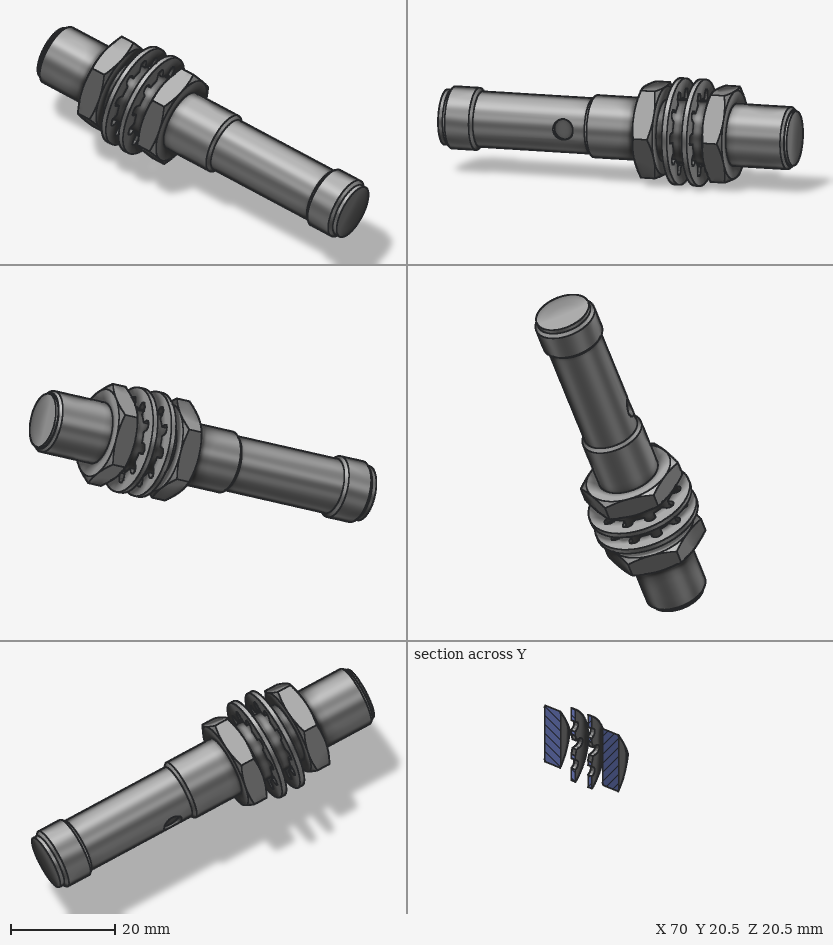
import cadquery as cq
import math

total_length = 70.0
thread_diameter = 12.0
thread_end = 40.6
front_cap_diameter = 10.5
front_cap_length = 0.5
front_chamfer_diameter = 11.0
front_chamfer_end = 1.1
tail_diameter = 10.7
collar_start = 63.0
collar_end = 69.1

recess_diameter = 4.0
recess_position = 44.9
recess_depth = 1.0

nut_width_across_flats = 17.0
nut_thickness = 4.0
nut_starts = (12.0, 26.0)
nut_chamfer_angle = 25.0

washer_diameter = 20.5
washer_bore_diameter = 13.0
washer_thickness = 1.0
washer_starts = (18.5, 22.5)
washer_notch_count = 10
washer_notch_width = 2.0
washer_notch_reach = 8.4


def x_cylinder(diameter, start, length):
    """Solid cylinder along X, beginning at X = start."""
    return cq.Workplane("YZ", origin=(start, 0, 0)).circle(diameter / 2).extrude(length)


def make_sensor():
    """Stepped round barrel with a threaded front, a slim tail and an end collar."""
    thread_radius = thread_diameter / 2
    tail_radius = tail_diameter / 2
    step_chamfer = thread_radius - tail_radius
    half_profile = [
        (0, 0),
        (0, front_cap_diameter / 2),
        (front_cap_length, front_cap_diameter / 2),
        (front_cap_length, front_chamfer_diameter / 2),
        (front_chamfer_end, thread_radius),
        (thread_end - step_chamfer, thread_radius),
        (thread_end, tail_radius),
        (collar_start, tail_radius),
        (collar_start + step_chamfer, thread_radius),
        (collar_end - step_chamfer, thread_radius),
        (collar_end, tail_radius),
        (total_length, tail_radius),
        (total_length, 0),
    ]
    barrel = cq.Workplane("XY").polyline(half_profile).close().revolve(360, (0, 0, 0), (1, 0, 0))
    recess_floor = tail_radius - recess_depth
    recess = (
        cq.Workplane("XZ", origin=(recess_position, recess_floor, 0))
        .circle(recess_diameter / 2)
        .extrude(-tail_radius)
    )
    return barrel.cut(recess)


def make_nut(start):
    """Hexagon nut with flats facing +Z and -Z and conically chamfered corners."""
    corner_radius = nut_width_across_flats / math.sqrt(3)
    flat_radius = nut_width_across_flats / 2
    chamfer_length = (corner_radius - flat_radius) * math.tan(math.radians(nut_chamfer_angle))
    hexagon = cq.Workplane("YZ", origin=(start, 0, 0)).polygon(6, 2 * corner_radius).extrude(nut_thickness)
    chamfered_blank = (
        x_cylinder(2 * corner_radius, start, nut_thickness)
        .faces("<X or >X")
        .edges()
        .chamfer(chamfer_length, corner_radius - flat_radius)
    )
    bore = x_cylinder(thread_diameter, start, nut_thickness)
    return hexagon.intersect(chamfered_blank).cut(bore)


def make_washer(start):
    """Round washer whose bore has evenly spaced round-ended notches between its teeth."""
    washer = x_cylinder(washer_diameter, start, washer_thickness)
    washer = washer.cut(x_cylinder(washer_bore_diameter, start, washer_thickness))
    notch_end_center = washer_notch_reach - washer_notch_width / 2
    notch = (
        cq.Workplane("YZ", origin=(start, 0, 0))
        .center(notch_end_center / 2, 0)
        .slot2D(notch_end_center + washer_notch_width, washer_notch_width)
        .extrude(washer_thickness)
    )
    for index in range(washer_notch_count):
        angle = index * 360 / washer_notch_count
        washer = washer.cut(notch.rotate((0, 0, 0), (1, 0, 0), angle))
    return washer


sensor = make_sensor()
nuts = [make_nut(start) for start in nut_starts]
washers = [make_washer(start) for start in washer_starts]

result = cq.Compound.makeCompound([body.val() for body in [sensor, *nuts, *washers]])